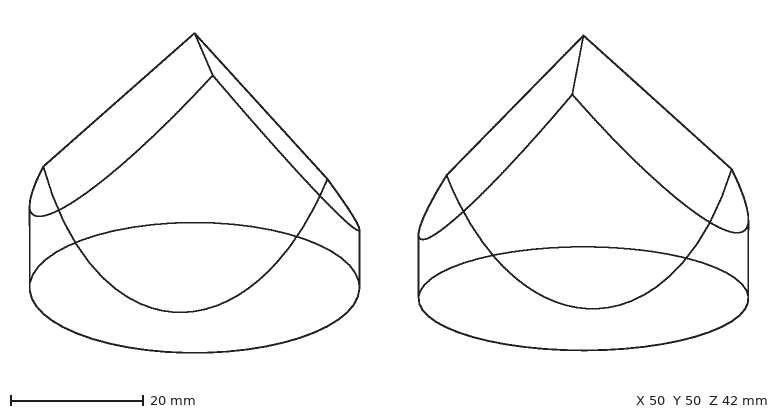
import cadquery as cq
import math

diameter = 50.0
height = 42.0
face_count = 3
first_face_angle = 60.0
face_slope = math.sqrt(2)

radius = diameter / 2
cut_reach = 1.1 * radius


def face_cutter(angle):
    """Wedge above one sloping face, falling from the apex toward the given angle."""
    return (
        cq.Workplane("XZ")
        .moveTo(0, height)
        .lineTo(cut_reach, height - face_slope * cut_reach)
        .lineTo(cut_reach, height)
        .close()
        .extrude(cut_reach, both=True)
        .rotate((0, 0, 0), (0, 0, 1), angle)
    )


result = cq.Workplane("XY").circle(radius).extrude(height)

for index in range(face_count):
    result = result.cut(face_cutter(first_face_angle + index * 360 / face_count))